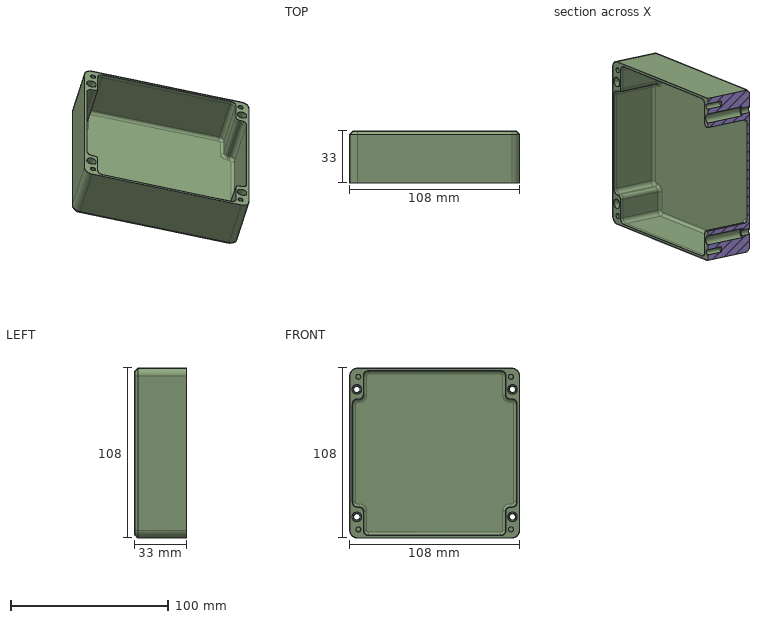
import cadquery as cq

side = 108.0
depth = 33.0
corner_radius = 5.0
back_chamfer = 2.0

wall = 1.8
floor_thickness = 2.0
boss_width = 8.9
boss_length = 19.8
concave_radius = 3.1
convex_radius = 2.7
floor_fillet = 1.9

flare_width = 0.2
flare_depth = 1.9

screw_from_side = 4.5
screw_from_end = 13.5
screw_diameter = 4.0
screw_head_diameter = 6.0
screw_seat_thickness = 6.0
pin_inset = 5.5
pin_diameter = 3.1
pin_depth = 10.8

half_side = side / 2
cavity_depth = depth - floor_thickness
screw_head_depth = depth - screw_seat_thickness


def front_plane():
    """Workplane on the open face, facing out along -Y."""
    return cq.Workplane("XZ", origin=(0, -depth / 2, 0))


def corner_points(x, z):
    """The same point repeated in all four corners."""
    return [(sign_x * x, sign_z * z) for sign_x in (-1, 1) for sign_z in (-1, 1)]


def rounded_block(width, height, block_depth, radius):
    """Block reaching back from the open face, its edges along Y rounded."""
    return front_plane().rect(width, height).extrude(-block_depth).edges("|Y").fillet(radius)


def make_shell():
    """Solid box with its closed back chamfered all round."""
    return rounded_block(side, side, depth, corner_radius).faces(">Y").chamfer(back_chamfer)


def make_cavity():
    """Cross-shaped cavity that clears the four bosses."""
    full_width = side - 2 * wall
    width_between = side - 2 * boss_width
    height_between = side - 2 * boss_length
    tall = rounded_block(width_between, full_width, cavity_depth, concave_radius)
    wide = rounded_block(full_width, height_between, cavity_depth, concave_radius)

    margin = 0.1
    reach_x = width_between / 2 + margin
    reach_z = height_between / 2 + margin
    boss_corners = cq.selectors.BoxSelector((-reach_x, -depth, -reach_z), (reach_x, depth, reach_z))
    cross = tall.union(wide).edges("|Y").edges(boss_corners).fillet(convex_radius)
    return cross.faces(">Y").edges().fillet(floor_fillet)


def make_box():
    """Shell with the cavity cut out and its mouth flared."""
    hollow = make_shell().cut(make_cavity())
    mouth = hollow.faces("<Y").val().innerWires()[0]
    return hollow.newObject(mouth.Edges()).chamfer(flare_width, flare_depth)


def make_holes(x, z, diameter, hole_depth):
    """Straight holes from the open face, one in each boss."""
    return front_plane().pushPoints(corner_points(x, z)).circle(diameter / 2).extrude(-hole_depth)


screw_x = half_side - screw_from_side
screw_z = half_side - screw_from_end
pin_position = half_side - pin_inset

result = (
    make_box()
    .cut(make_holes(screw_x, screw_z, screw_diameter, depth))
    .cut(make_holes(screw_x, screw_z, screw_head_diameter, screw_head_depth))
    .cut(make_holes(pin_position, pin_position, pin_diameter, pin_depth))
)